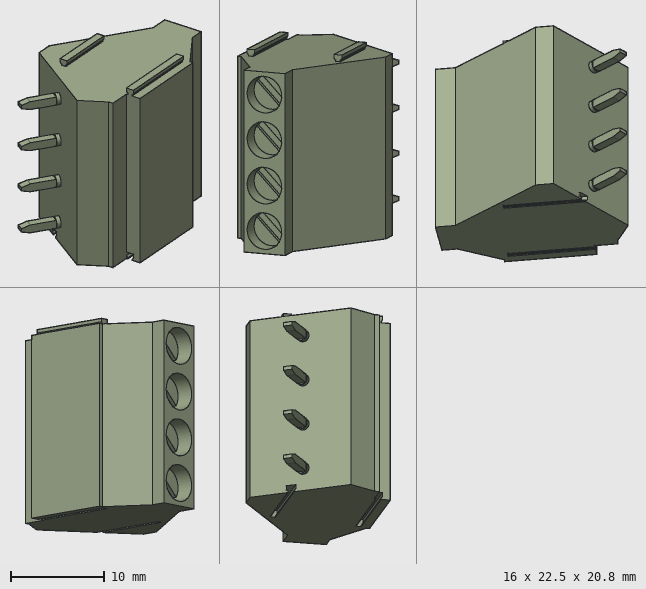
import cadquery as cq
import math


poles = 4
height = 20.0
overall_height = 20.75
pitch = height / poles
tilt = 55.0
left_x = -7.27
side_top_y = 13.48
corner_bevel = 1.91
nose_overhang = 2.18
nose_width = 4.77
nose_right_flank = 1.69
wire_face_end = (7.47, 6.5)
wire_face_length = 10.01
wire_face_lip = 0.4
step_depth = 1.78
ledge_length = 2.56
ledge_lip = 0.56
pin_side_right_x = 5.51

hole_diameter = 4.0
hole_depth = 2.0
screw_slot_width = 0.9
screw_slot_depth = 0.5
screw_slot_angle = 45.0

collar_diameter = 1.3
collar_length = 0.5
pin_width = 0.97
pin_length = 4.5
pin_tip_length = 1.01
pin_tip_thickness = 0.4

rail_width = 0.92
rail_neck_width = 0.56
rail_height = overall_height - height
rail_neck_height = 0.14
rail_flare_height = 0.35
slot_clearance = 0.05
long_rail_length = 9.5
short_rail_length = 7.02
short_rail_start = (-6.8, 6.88)
slot_overrun = 3.38

down_slope = (math.cos(math.radians(tilt)), -math.sin(math.radians(tilt)))
outward = (math.sin(math.radians(tilt)), math.cos(math.radians(tilt)))


def shifted(point, along=0.0, out=0.0):
    """Move a point down the slope and outward from it."""
    return (
        point[0] + along * down_slope[0] + out * outward[0],
        point[1] + along * down_slope[1] + out * outward[1],
    )


def pole_heights():
    return [(pole + 0.5) * pitch for pole in range(poles)]


nose_left = shifted((left_x, side_top_y), along=-nose_overhang)
nose_right = shifted(nose_left, out=nose_width)
wire_face_start = shifted(wire_face_end, along=-wire_face_length)
step_corner = shifted(wire_face_end, out=-step_depth)
ledge_end = shifted(step_corner, along=ledge_length)
long_rail_start = shifted(step_corner, along=-long_rail_length)


def make_housing():
    bevel_run = corner_bevel * down_slope[0]
    bevel_rise = -corner_bevel * down_slope[1]
    outline = [
        (left_x + bevel_run, 0),
        (left_x, bevel_rise),
        (left_x, side_top_y),
        nose_left,
        nose_right,
        shifted(nose_right, along=nose_right_flank),
        shifted(wire_face_start, out=-wire_face_lip),
        wire_face_start,
        wire_face_end,
        step_corner,
        ledge_end,
        shifted(ledge_end, out=-ledge_lip),
        (pin_side_right_x, 0),
    ]
    return cq.Workplane("XY").polyline(outline).close().extrude(height)


def make_screw_hole(z):
    """Blind round hole driven down the slope from the nose face, with a slot across its floor."""
    center = shifted(nose_left, out=nose_width / 2)
    nose_face = cq.Workplane(
        cq.Plane(
            origin=(center[0], center[1], z),
            xDir=(outward[0], outward[1], 0),
            normal=(down_slope[0], down_slope[1], 0),
        )
    )
    bore = nose_face.circle(hole_diameter / 2).extrude(hole_depth)
    slot_bar = (
        nose_face.transformed(rotate=(0, 0, screw_slot_angle))
        .rect(hole_diameter, screw_slot_width)
        .extrude(hole_depth + screw_slot_depth)
    )
    slot_limit = nose_face.circle(hole_diameter / 2).extrude(hole_depth + screw_slot_depth)
    return bore.union(slot_bar.intersect(slot_limit))


def make_pin(z):
    """Round collar carrying a square pin whose end tapers in Z."""
    collar = (
        cq.Workplane("XZ")
        .center(0, z)
        .circle(collar_diameter / 2)
        .extrude(collar_length)
    )
    half = pin_width / 2
    half_tip = pin_tip_thickness / 2
    taper_y = -pin_length + pin_tip_length
    side_profile = [
        (-collar_length, z - half),
        (taper_y, z - half),
        (-pin_length, z - half_tip),
        (-pin_length, z + half_tip),
        (taper_y, z + half),
        (-collar_length, z + half),
    ]
    shank = cq.Workplane("YZ").polyline(side_profile).close().extrude(half, both=True)
    return collar.union(shank)


def make_dovetail(start, length, base_z, depth):
    """Dovetail bar running down the slope; start is its inner upper corner."""
    center = shifted(start, out=rail_width / 2)
    section = cq.Plane(
        origin=(center[0], center[1], base_z),
        xDir=(outward[0], outward[1], 0),
        normal=(down_slope[0], down_slope[1], 0),
    )
    half = rail_width / 2
    half_neck = rail_neck_width / 2
    profile = [
        (-half_neck, 0),
        (-half_neck, rail_neck_height),
        (-half, rail_flare_height),
        (-half, depth),
        (half, depth),
        (half, rail_flare_height),
        (half_neck, rail_neck_height),
        (half_neck, 0),
    ]
    return cq.Workplane(section).polyline(profile).close().extrude(length)


result = make_housing()

for pole_z in pole_heights():
    result = result.cut(make_screw_hole(pole_z)).union(make_pin(pole_z))

for rail_start, rail_length in [
    (long_rail_start, long_rail_length),
    (short_rail_start, short_rail_length),
]:
    rail = make_dovetail(rail_start, rail_length, height, rail_height)
    slot = make_dovetail(rail_start, rail_length + slot_overrun, 0, rail_height + slot_clearance)
    result = result.union(rail).cut(slot)